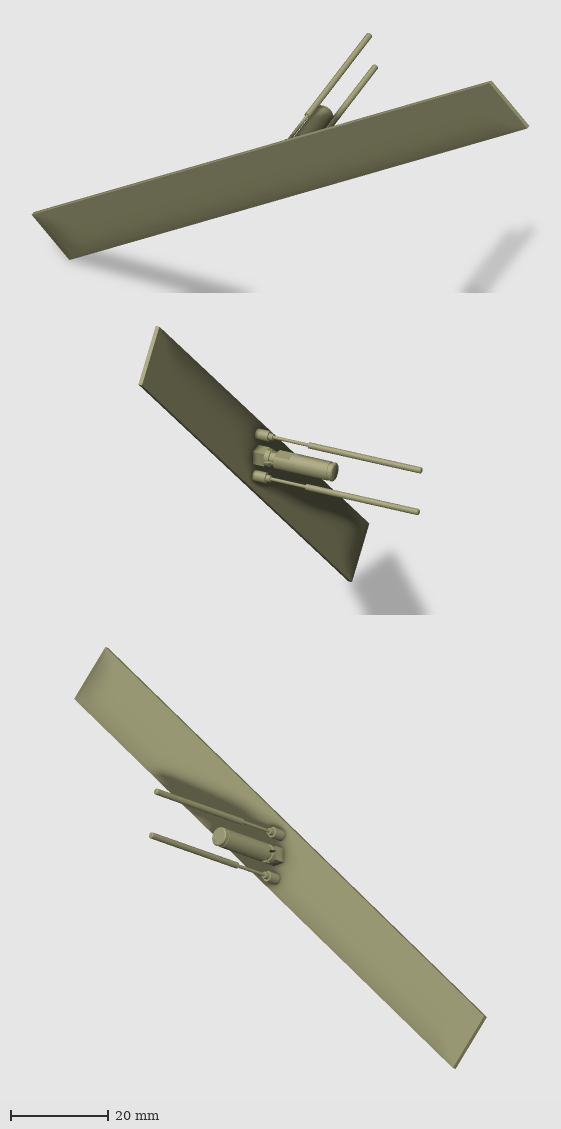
import cadquery as cq
import math

plate_span = 118.6
plate_width = 12.8
plate_length = plate_span * math.sqrt(2) - plate_width
plate_thickness = 0.8
plate_tilt = 45.0

total_depth = 37.7

terminal_diameter = 2.3
terminal_length = 2.7
collar_diameter = 1.4
collar_length = 1.0
terminal_x = 0.7
terminal_z = 4.6
collar_start = plate_thickness + terminal_length
collar_end = collar_start + collar_length

wire_diameter = 0.7
sleeve_diameter = 1.3
sleeve_length = 25.3
sleeve_chamfer = 0.18
sleeve_start = total_depth - sleeve_length

block_side = 3.0
block_length = 2.5
flange_diameter = 3.8
flange_length = 1.1
neck_diameter = 3.1
neck_length = 1.2
slot_width = 0.6
slot_angles = (0, 90)
block_end = plate_thickness + block_length
flange_end = block_end + flange_length
neck_end = flange_end + neck_length

barrel_diameter = 4.0
barrel_length = 13.0
flat_length = 3.5
flat_depth = 0.6
groove_width = 0.7
groove_depth = 0.1
groove_to_end = 0.5
end_chamfer = 0.2
barrel_end = neck_end + barrel_length


def rod(x, z, diameter, start, end):
    """Cylinder along +Y between two depths."""
    plane = cq.Plane(origin=(x, start, z), xDir=(1, 0, 0), normal=(0, 1, 0))
    return cq.Workplane(plane).circle(diameter / 2).extrude(end - start)


def bar(width, height, start, end):
    """Box along +Y between two depths, centred in X and Z."""
    length = end - start
    return cq.Workplane("XY").box(width, length, height).translate((0, start + length / 2, 0))


def make_plate():
    strip = bar(plate_length, plate_width, 0, plate_thickness)
    return strip.rotate((0, 0, 0), (0, 1, 0), -plate_tilt)


def make_terminal(x, z):
    post = rod(x, z, terminal_diameter, plate_thickness, collar_start)
    collar = rod(x, z, collar_diameter, collar_start, collar_end)
    return post.union(collar)


def make_cable(x, z):
    wire = rod(x, z, wire_diameter, collar_end, sleeve_start)
    sleeve = rod(x, z, sleeve_diameter, sleeve_start, total_depth)
    sleeve = sleeve.faces(">Y").chamfer(sleeve_chamfer)
    return wire.union(sleeve)


def make_mount():
    flange = rod(0, 0, flange_diameter, block_end, flange_end)
    neck = rod(0, 0, neck_diameter, flange_end, neck_end)
    split_end = flange.union(neck)
    slot = bar(flange_diameter, slot_width, block_end, neck_end)
    for angle in slot_angles:
        split_end = split_end.cut(slot.rotate((0, 0, 0), (0, 1, 0), angle))
    block = bar(block_side, block_side, plate_thickness, block_end)
    return block.union(split_end)


def make_barrel():
    barrel = rod(0, 0, barrel_diameter, neck_end, barrel_end)
    barrel = barrel.faces(">Y").chamfer(end_chamfer)

    flat_cut = bar(barrel_diameter, barrel_diameter, neck_end, neck_end + flat_length)
    barrel = barrel.cut(flat_cut.translate((0, 0, barrel_diameter - flat_depth)))

    groove_end = barrel_end - groove_to_end
    groove_start = groove_end - groove_width
    groove_core = rod(0, 0, barrel_diameter - 2 * groove_depth, groove_start, groove_end)
    groove = rod(0, 0, barrel_diameter, groove_start, groove_end).cut(groove_core)
    return barrel.cut(groove)


plate = make_plate().solids().val()
mount = make_mount().solids().val()
barrel = make_barrel().solids().val()

terminals = []
cables = []
for side in (-1, 1):
    x = side * terminal_x
    z = -side * terminal_z
    terminals.append(make_terminal(x, z).solids().val())
    cables.append(make_cable(x, z).solids().val())

result = cq.Compound.makeCompound([plate, mount, barrel, *terminals, *cables])